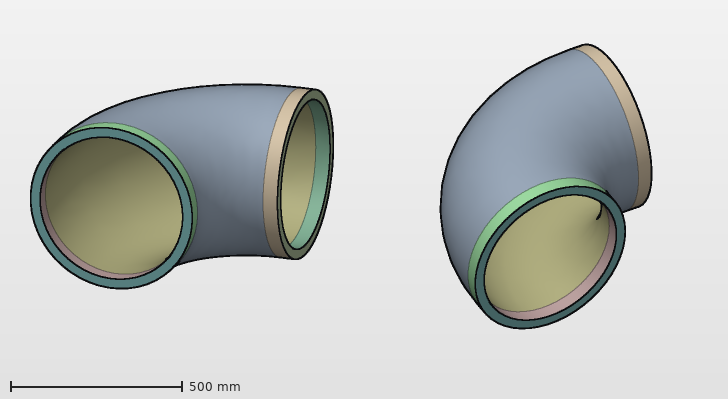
import cadquery as cq

outer_diameter = 500.0
bore_diameter = 440.6

bend_radius = 400.0
bend_angle = 90.0
collar_length = 45.0



def pipe_section(plane):
    """Ring-shaped pipe cross-section centred on the given plane."""
    return cq.Workplane(plane).circle(outer_diameter / 2).circle(bore_diameter / 2)


def inlet_collar():
    """Straight collar running in -Y from the start of the bend."""
    plane = cq.Plane(origin=(-bend_radius, 0, 0), xDir=(1, 0, 0), normal=(0, -1, 0))
    return pipe_section(plane).extrude(collar_length)


def outlet_collar():
    """Straight collar running in +X from the end of the bend."""
    plane = cq.Plane(origin=(0, bend_radius, 0), xDir=(0, 1, 0), normal=(1, 0, 0))
    return pipe_section(plane).extrude(collar_length)


def bend():
    """Quarter torus joining the two collars."""
    plane = cq.Plane(origin=(-bend_radius, 0, 0), xDir=(1, 0, 0), normal=(0, -1, 0))
    axis_start = (bend_radius, 0)
    axis_end = (bend_radius, -1)
    return pipe_section(plane).revolve(bend_angle, axis_start, axis_end)


result = bend().union(inlet_collar()).union(outlet_collar())